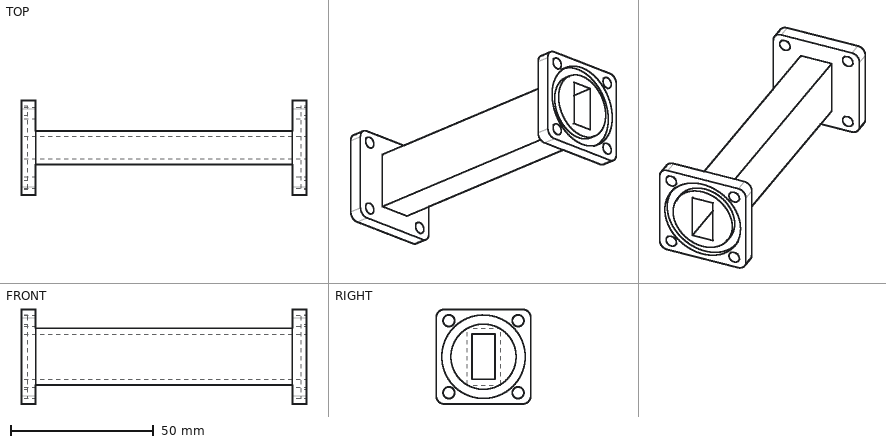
import cadquery as cq

overall_length = 100.0
flange_side = 33.3
flange_thickness = 5.0
flange_corner_radius = 3.0
bore_width = 7.9
bore_height = 15.8
tube_width = 11.9
tube_height = 20.0
bolt_hole_diameter = 4.0
bolt_pitch_y = 24.28
bolt_pitch_z = 25.27
groove_outer_diameter = 29.3
groove_inner_diameter = 22.9
groove_depth = 2.0

end_face_x = overall_length / 2
tube_half_length = end_face_x - flange_thickness


def make_tube():
    """Solid bar between the inner faces of the two flanges, before boring."""
    return cq.Workplane("YZ").rect(tube_width, tube_height).extrude(tube_half_length, both=True)


def make_flange():
    """Flange at the -X end: rounded square plate with four bolt holes."""
    mating_face = cq.Workplane("YZ", origin=(-end_face_x, 0, 0))
    plate = (
        mating_face.rect(flange_side, flange_side)
        .extrude(flange_thickness)
        .edges("|X")
        .fillet(flange_corner_radius)
    )
    bolt_holes = (
        mating_face.rect(bolt_pitch_y, bolt_pitch_z, forConstruction=True)
        .vertices()
        .circle(bolt_hole_diameter / 2)
        .extrude(flange_thickness)
    )
    return plate.cut(bolt_holes)


def make_groove():
    """Ring groove sunk into the mating face of the -X flange."""
    return (
        cq.Workplane("YZ", origin=(-end_face_x, 0, 0))
        .circle(groove_outer_diameter / 2)
        .circle(groove_inner_diameter / 2)
        .extrude(groove_depth)
    )


def make_bore():
    """Rectangular passage running the full length."""
    return cq.Workplane("YZ").rect(bore_width, bore_height).extrude(end_face_x, both=True)


def make_waveguide():
    """Tube between two mirrored, grooved flanges, opened by the bore."""
    flange = make_flange().cut(make_groove())
    body = make_tube().union(flange).union(flange.mirror("YZ"))
    return body.cut(make_bore())


result = make_waveguide()